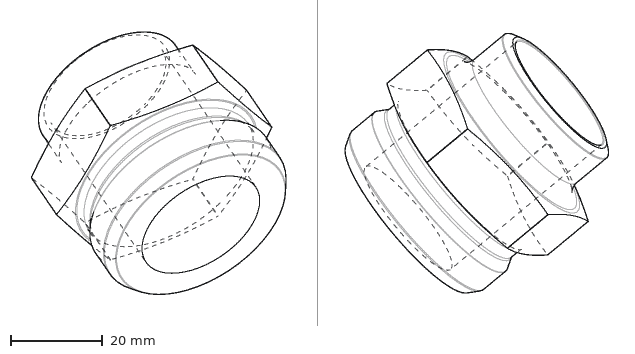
import cadquery as cq
import math

length = 44.0
hex_corners = 53.05
hex_flats = 46.0
bore_diameter = 29.0

spigot_radius = 35.0 / 2
spigot_face_radius = 15.5
spigot_bevel_angle = 30.0
spigot_fillet = 4.0

hex_start = 13.95
hex_end = 27.95
hex_chamfer_radius = 22.45
hex_chamfer_angle = 15.0

neck_radius = 41.9 / 2
neck_fillet = 1.15
collar_radius = 45.0 / 2
collar_start = 34.75
collar_end_radius = 20.9
collar_cone_angle = 30.0
collar_blend = 0.65

edge_round = 0.2
match_tolerance = 0.005


def rise(run, angle):
    """Height gained along run on a slope of the given angle."""
    return run * math.tan(math.radians(angle))


def arc_middle(radius, sweep):
    """Axial and radial offsets halfway along an arc that starts parallel to the axis."""
    half = math.radians(sweep / 2)
    return radius * math.sin(half), radius * (1 - math.cos(half))


def arc_end(radius, sweep):
    """Axial and radial offsets at the end of the same arc."""
    return arc_middle(radius, 2 * sweep)


def round_edge(body, x, radius):
    """Round the circular edge of the given radius that lies at x."""
    edges = body.edges("%CIRCLE").filter(
        lambda edge: abs(edge.Center().x - x) < match_tolerance
        and abs(edge.radius() - radius) < match_tolerance
    )
    return edges.fillet(edge_round)


def make_spigot():
    bevel_length = rise(spigot_radius - spigot_face_radius, spigot_bevel_angle)
    middle_x, middle_r = arc_middle(spigot_fillet, 90)
    fillet_start = hex_start - spigot_fillet
    profile = (
        cq.Workplane("XY")
        .lineTo(0, spigot_face_radius)
        .lineTo(bevel_length, spigot_radius)
        .lineTo(fillet_start, spigot_radius)
        .threePointArc(
            (fillet_start + middle_x, spigot_radius + middle_r),
            (hex_start, spigot_radius + spigot_fillet),
        )
        .lineTo(hex_start, 0)
        .close()
    )
    spigot = profile.revolve(360, (0, 0, 0), (1, 0, 0))
    return round_edge(spigot, bevel_length, spigot_radius)


def make_hexagon():
    prism = (
        cq.Workplane("YZ", origin=(hex_start, 0, 0))
        .polygon(6, hex_flats / math.cos(math.radians(30)))
        .extrude(hex_end - hex_start)
    )
    corner_radius = hex_corners / 2
    chamfer_depth = rise(corner_radius - hex_chamfer_radius, hex_chamfer_angle)
    disc = (
        cq.Workplane("XY")
        .moveTo(hex_start, 0)
        .lineTo(hex_start, hex_chamfer_radius)
        .lineTo(hex_start + chamfer_depth, corner_radius)
        .lineTo(hex_end - chamfer_depth, corner_radius)
        .lineTo(hex_end, hex_chamfer_radius)
        .lineTo(hex_end, 0)
        .close()
        .revolve(360, (0, 0, 0), (1, 0, 0))
    )
    return prism.intersect(disc)


def make_neck_and_collar():
    fillet_x, fillet_r = arc_middle(neck_fillet, 90)
    neck_start = hex_end + neck_fillet

    neck_mid_x, neck_mid_r = arc_middle(neck_fillet, collar_cone_angle)
    neck_end_x, neck_end_r = arc_end(neck_fillet, collar_cone_angle)
    cone_start_radius = neck_radius + neck_end_r
    cone_slope = rise(1, collar_cone_angle)
    cone_start = collar_start - (collar_radius - cone_start_radius) / cone_slope
    neck_end = cone_start - neck_end_x

    blend_mid_x, blend_mid_r = arc_middle(collar_blend, collar_cone_angle)
    blend_end_x, blend_end_r = arc_end(collar_blend, collar_cone_angle)
    end_cone_radius = collar_radius - blend_end_r
    end_cone_start = length - (end_cone_radius - collar_end_radius) / cone_slope
    collar_end = end_cone_start - blend_end_x

    profile = (
        cq.Workplane("XY")
        .moveTo(hex_end, 0)
        .lineTo(hex_end, neck_radius + neck_fillet)
        .threePointArc(
            (neck_start - fillet_x, neck_radius + fillet_r),
            (neck_start, neck_radius),
        )
        .lineTo(neck_end, neck_radius)
        .threePointArc(
            (neck_end + neck_mid_x, neck_radius + neck_mid_r),
            (cone_start, cone_start_radius),
        )
        .lineTo(collar_start, collar_radius)
        .lineTo(collar_end, collar_radius)
        .threePointArc(
            (collar_end + blend_mid_x, collar_radius - blend_mid_r),
            (end_cone_start, end_cone_radius),
        )
        .lineTo(length, collar_end_radius)
        .lineTo(length, 0)
        .close()
    )
    body = profile.revolve(360, (0, 0, 0), (1, 0, 0))
    body = round_edge(body, collar_start, collar_radius)
    return round_edge(body, length, collar_end_radius)


bore = cq.Workplane("YZ").circle(bore_diameter / 2).extrude(length)
result = make_spigot().union(make_hexagon()).union(make_neck_and_collar()).cut(bore)
result = round_edge(result, 0, bore_diameter / 2)